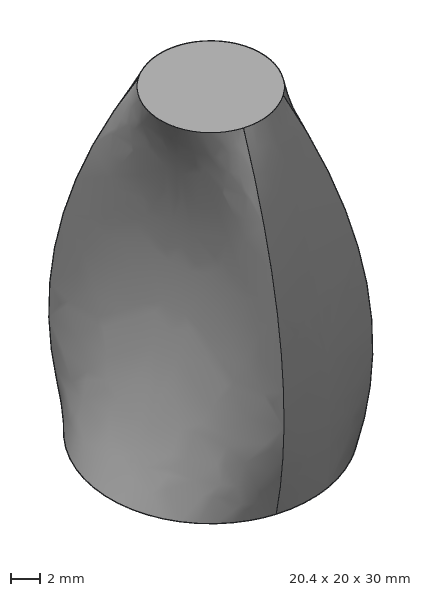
import cadquery as cq

height = 30.0
base_diameter = height * 2 / 3
waist_length = base_diameter
waist_width = base_diameter / 2
top_diameter = base_diameter / 2
waist_height = height / 3


def section_at(level):
    return cq.Workplane("XY").workplane(offset=level)


base_circle = section_at(0).circle(base_diameter / 2).wires().val()
waist_rectangle = section_at(waist_height).rect(waist_length, waist_width).wires().val()
top_circle = section_at(height).circle(top_diameter / 2).wires().val()

body = cq.occ_impl.shapes.loft(
    [base_circle, waist_rectangle, top_circle],
    cap=True,
    parametrization="chordal",
)
result = cq.Workplane("XY").newObject([body])